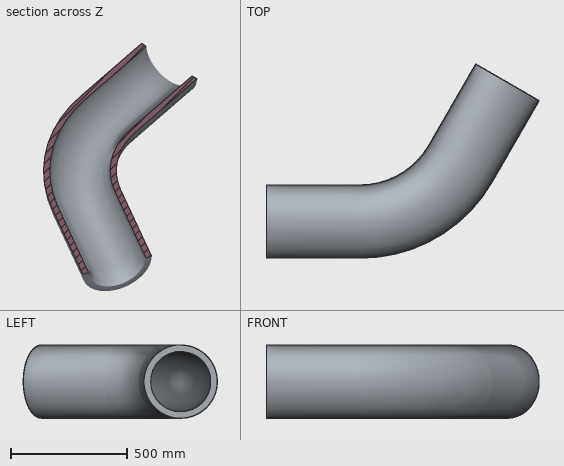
import cadquery as cq
import math

outer_diameter = 315.0
inner_diameter = 257.8
bend_angle = 60.0
centre_to_end = 690.0
straight_length = 403.7

tangent_length = centre_to_end - straight_length
bend_radius = tangent_length / math.tan(math.radians(bend_angle / 2))


def centreline_point(radius, angle):
    """Point on the bend, measured from its start at the origin, heading along +X."""
    turn = math.radians(angle)
    return (radius * math.sin(turn), radius * (1 - math.cos(turn)))


def make_centreline():
    """Straight along +X, a bend towards +Y, then a second straight end."""
    bend_middle = centreline_point(bend_radius, bend_angle / 2)
    bend_end = centreline_point(bend_radius, bend_angle)
    return (
        cq.Workplane("XY")
        .moveTo(-straight_length, 0)
        .lineTo(0, 0)
        .threePointArc(bend_middle, bend_end)
        .polarLine(straight_length, bend_angle)
    )


def make_pipe():
    """Sweep the ring-shaped pipe section along the centreline."""
    return (
        cq.Workplane("YZ", origin=(-straight_length, 0, 0))
        .circle(outer_diameter / 2)
        .circle(inner_diameter / 2)
        .sweep(make_centreline())
    )


result = make_pipe()